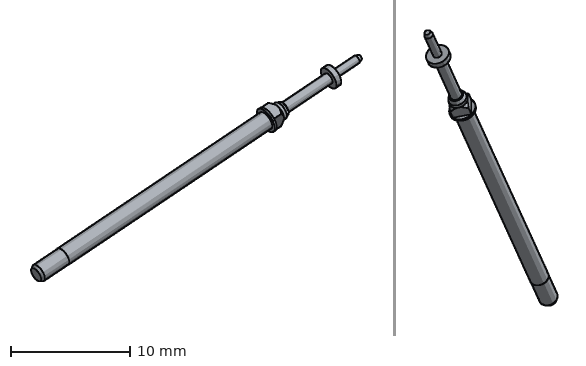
import cadquery as cq

total_length = 36.0
collar_start = 2.95
collar_end = 3.5
mouth_start = 8.45
mouth_end = 8.82
square_start = 9.15
flange_start = 10.25
flange_end = 10.48
tail_start = 33.0

square_width = 1.62
corner_slope = 45

pin_diameter = 0.75
collar_diameter = 2.0
neck_diameter = 1.0
mouth_diameter = 1.25
barrel_diameter = 1.65
flange_diameter = 2.3
tail_diameter = 1.62

tip_taper_length = 0.35
tip_diameter = 0.5
tail_taper_length = 0.3
tail_end_diameter = 1.3


def turned_body():
    """Plunger and barrel turned from one half profile about the Y axis."""

    def at(diameter, distance):
        return (diameter / 2, total_length / 2 - distance)

    profile = (
        cq.Workplane("XY")
        .moveTo(*at(0, 0))
        .lineTo(*at(tip_diameter, 0))
        .lineTo(*at(pin_diameter, tip_taper_length))
        .lineTo(*at(pin_diameter, collar_start))
        .lineTo(*at(collar_diameter, collar_start))
        .lineTo(*at(collar_diameter, collar_end))
        .lineTo(*at(neck_diameter, collar_end))
        .lineTo(*at(neck_diameter, mouth_start))
        .lineTo(*at(mouth_diameter, mouth_start))
        .lineTo(*at(square_width, mouth_end))
        .lineTo(*at(square_width, flange_start))
        .lineTo(*at(flange_diameter, flange_start))
        .lineTo(*at(flange_diameter, flange_end))
        .lineTo(*at(barrel_diameter, flange_end))
        .lineTo(*at(barrel_diameter, tail_start))
        .lineTo(*at(tail_diameter, tail_start))
        .lineTo(*at(tail_diameter, total_length - tail_taper_length))
        .lineTo(*at(tail_end_diameter, total_length))
        .lineTo(*at(0, total_length))
        .close()
    )
    return profile.revolve(360, (0, 0), (0, 1))


def square_section():
    """Square wrench section against the flange, its corners sloping down to the mouth."""
    length = flange_end - square_start
    plane = cq.Workplane("XZ", origin=(0, total_length / 2 - square_start, 0))
    square = plane.rect(square_width, square_width).extrude(length)
    cone = plane.circle(square_width / 2).extrude(length, taper=-corner_slope)
    return square.intersect(cone)


result = turned_body().union(square_section())